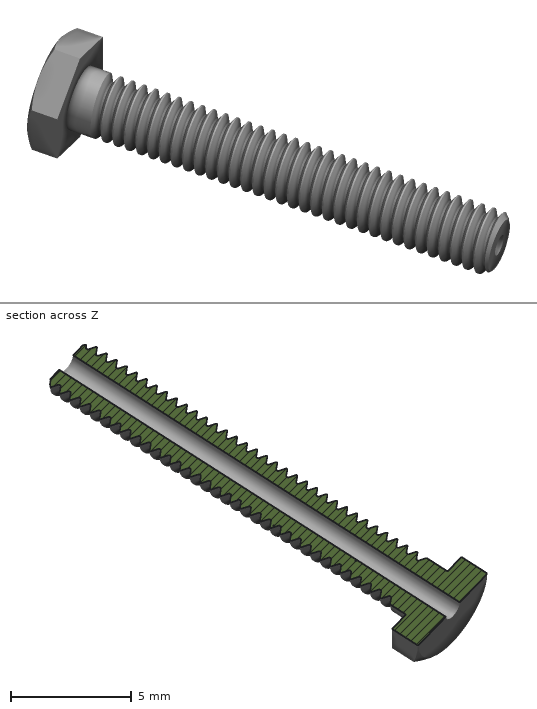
import cadquery as cq
import math

LENGTH = 20.45
BORE_DIAMETER = 0.92

ACROSS_CORNERS = 5.42
HEAD_THICKNESS = 1.4
HEAD_FACE_DIAMETER = 4.62
HEAD_CHAMFER_ANGLE = 30.0

SHANK_RADIUS = 1.41
TIP_CHAMFER = 0.27
PITCHES_ON_SHANK = 36
PITCH = (LENGTH - HEAD_THICKNESS) / PITCHES_ON_SHANK
THREAD_DEPTH = 0.33
CREST_FLAT = PITCH / 8
THREAD_ANGLE = 60.0
FLANK_SLOPE = math.tan(math.radians(THREAD_ANGLE / 2))
THREAD_START = 2.33
CUT_OVERLAP = 0.01
SEAM_ANGLE = 90.0


def hex_head():
    """Hexagonal head, corners on +Z and -Z, bevelled by a cone around its outer face."""
    prism = (
        cq.Workplane("YZ")
        .polygon(6, ACROSS_CORNERS)
        .extrude(HEAD_THICKNESS)
        .rotate((0, 0, 0), (1, 0, 0), 90)
    )
    face_radius = HEAD_FACE_DIAMETER / 2
    rim_radius = face_radius + HEAD_THICKNESS / math.tan(math.radians(HEAD_CHAMFER_ANGLE))
    bevel = (
        cq.Workplane("XY")
        .polyline([(0, 0), (0, face_radius), (HEAD_THICKNESS, rim_radius), (HEAD_THICKNESS, 0)])
        .close()
        .revolve(360, (0, 0, 0), (1, 0, 0))
    )
    return prism.intersect(bevel)


def plain_shank():
    """Round shank running from the head's underside to the tip."""
    return (
        cq.Workplane("YZ", origin=(HEAD_THICKNESS, 0, 0))
        .circle(SHANK_RADIUS)
        .extrude(LENGTH - HEAD_THICKNESS)
        .rotate((0, 0, 0), (1, 0, 0), SEAM_ANGLE)
    )


def thread_groove():
    """Right-handed helical cutter with a flat-bottomed 60 degree V section, running off the tip."""
    root_radius = SHANK_RADIUS - THREAD_DEPTH
    outer_radius = SHANK_RADIUS + CUT_OVERLAP
    mouth_half = (PITCH - CREST_FLAT) / 2
    root_half = mouth_half - THREAD_DEPTH * FLANK_SLOPE
    outer_half = mouth_half + CUT_OVERLAP * FLANK_SLOPE
    section = [
        (root_radius, -root_half),
        (outer_radius, -outer_half),
        (outer_radius, outer_half),
        (root_radius, root_half),
    ]

    turns = math.ceil((LENGTH - THREAD_START) / PITCH) + 1
    faces = []
    for turn in range(turns):
        helices = [
            cq.Wire.makeHelix(PITCH, PITCH, radius).translate(cq.Vector(0, 0, offset + turn * PITCH))
            for radius, offset in section
        ]
        for index in range(len(helices)):
            faces.append(cq.Face.makeRuledSurface(helices[index - 1], helices[index]))

    for height in (0, turns * PITCH):
        corners = [cq.Vector(radius, 0, offset + height) for radius, offset in section]
        faces.append(cq.Face.makeFromWires(cq.Wire.makePolygon(corners, close=True)))
    groove = cq.Workplane(cq.Solid.makeSolid(cq.Shell.makeShell(faces)))

    return groove.rotate((0, 0, 0), (0, 1, 0), 90).translate((THREAD_START, 0, 0))


def tip_chamfer():
    """Ring that bevels the tip of the shank at 45 degrees."""
    tip_radius = SHANK_RADIUS - TIP_CHAMFER
    ring_size = 2 * TIP_CHAMFER
    return (
        cq.Workplane("XY")
        .polyline([
            (LENGTH, tip_radius),
            (LENGTH, tip_radius + ring_size),
            (LENGTH - ring_size, tip_radius + ring_size),
        ])
        .close()
        .revolve(360, (0, 0, 0), (1, 0, 0))
    )


def bore():
    """Hole along the whole axis of the bolt."""
    return cq.Workplane("YZ").circle(BORE_DIAMETER / 2).extrude(LENGTH)


threaded_shank = plain_shank().cut(thread_groove()).cut(tip_chamfer())
result = hex_head().union(threaded_shank).cut(bore()).solids()